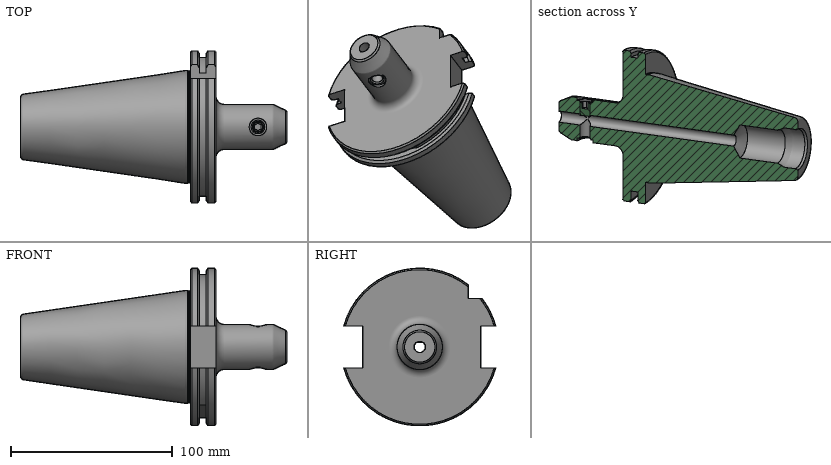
import cadquery as cq
import math


gauge_radius = 69.85 / 2
shank_length = 101.75
taper_slope = 7 / 48
small_end_radius = gauge_radius - shank_length * taper_slope
small_end_fillet = 2.5

collar_end = 1.5
neck_depth = 0.25
neck_side_width = 0.5

flange_start = 3.2
flange_end = 19.1
flange_radius = 97.5 / 2
flange_chamfer = 1.0
groove_center = 10.9
groove_width = 4.2
groove_floor_radius = 44.8
groove_chamfer_width = 1.1
groove_chamfer_depth = 1.6

slot_width = 25.7
slot_floor_plus_y = 37.7
slot_floor_minus_y = 35.3
notch_corner = 30.0

flat_distance = 40.75
flat_angle = 12.0

nose_end = 63.0
nose_radius = 14.0
nose_fillet = 5.0
nose_cone_start = 54.4
nose_tip_radius = 10.4
nose_cone_blend = 1.5
nose_tip_chamfer = 1.0

bore_mouth_radius = 13.2
bore_mouth_depth = 1.5
pilot_radius = 12.5
pilot_depth = 9.0
lead_in_radius = 12.3
lead_in_start = 10.0
lead_in_end = 14.0
thread_bore_radius = 10.5
thread_bore_depth = 40.0
through_radius = 3.4
drill_point_angle = 118

screw_x = 45.0
screw_radius = 3.4
screw_tip_z = 2.65
screw_top_z = 11.5
screw_chamfer = 0.5
socket_across_flats = 4.0
socket_depth = 4.0
counterbore_radius = 5.4
counterbore_floor_z = 12.3
screw_hole_mouth_radius = 4.2


def holder_blank():
    """Outer profile revolved about X."""
    groove_left = groove_center - groove_width / 2
    groove_right = groove_center + groove_width / 2
    groove_chamfer_radius = flange_radius - groove_chamfer_depth
    neck_radius = gauge_radius - neck_depth
    rim_radius = flange_radius - flange_chamfer
    profile = (
        cq.Workplane("XZ")
        .moveTo(-shank_length, 0)
        .lineTo(-shank_length, small_end_radius)
        .lineTo(0, gauge_radius)
        .lineTo(collar_end, gauge_radius)
        .lineTo(collar_end + neck_side_width, neck_radius)
        .lineTo(flange_start - neck_side_width, neck_radius)
        .lineTo(flange_start, gauge_radius)
        .lineTo(flange_start, rim_radius)
        .lineTo(flange_start + flange_chamfer, flange_radius)
        .lineTo(groove_left - groove_chamfer_width, flange_radius)
        .lineTo(groove_left, groove_chamfer_radius)
        .lineTo(groove_left, groove_floor_radius)
        .lineTo(groove_right, groove_floor_radius)
        .lineTo(groove_right, groove_chamfer_radius)
        .lineTo(groove_right + groove_chamfer_width, flange_radius)
        .lineTo(flange_end - flange_chamfer, flange_radius)
        .lineTo(flange_end, rim_radius)
        .lineTo(flange_end, nose_radius + nose_fillet)
        .radiusArc((flange_end + nose_fillet, nose_radius), -nose_fillet)
        .lineTo(nose_cone_start, nose_radius)
        .lineTo(nose_end - nose_tip_chamfer, nose_tip_radius)
        .lineTo(nose_end, nose_tip_radius - nose_tip_chamfer)
        .lineTo(nose_end, 0)
        .close()
    )
    blank = profile.revolve(360, (0, 0, 0), (1, 0, 0))
    blank = blank.faces("<X").edges().fillet(small_end_fillet)
    cone_edge = cq.NearestToPointSelector((nose_cone_start, 0, 0))
    return blank.edges(cone_edge).fillet(nose_cone_blend)


def axial_bore():
    """Stepped bore along X, from the small end through the nose."""
    drill_point_length = (thread_bore_radius - through_radius) / math.tan(math.radians(drill_point_angle / 2))
    thread_bore_end = thread_bore_depth - shank_length
    profile = (
        cq.Workplane("XY")
        .moveTo(-shank_length, 0)
        .lineTo(-shank_length, bore_mouth_radius)
        .lineTo(bore_mouth_depth - shank_length, pilot_radius)
        .lineTo(pilot_depth - shank_length, pilot_radius)
        .lineTo(lead_in_start - shank_length, lead_in_radius)
        .lineTo(lead_in_end - shank_length, thread_bore_radius)
        .lineTo(thread_bore_end, thread_bore_radius)
        .lineTo(thread_bore_end + drill_point_length, through_radius)
        .lineTo(nose_end, through_radius)
        .lineTo(nose_end, 0)
        .close()
    )
    return profile.revolve(360, (0, 0, 0), (1, 0, 0))


def flange_cutter(y_min, y_max, z_min, z_max):
    """Block as long as the flange, for cutting its rim."""
    return (
        cq.Workplane("XY")
        .box(flange_end - flange_start, y_max - y_min, z_max - z_min, centered=False)
        .translate((flange_start, y_min, z_min))
    )


def groove_flat_cutter():
    """Block as wide as the groove floor, leaving a flat near the bottom of the groove."""
    block = (
        cq.Workplane("XY")
        .box(groove_width, 2 * flange_radius, flange_radius, centered=(True, True, False))
        .translate((groove_center, 0, -flat_distance - flange_radius))
    )
    return block.rotate((0, 0, 0), (1, 0, 0), -flat_angle)


def screw_hole():
    """Cutter for a countersunk and counterbored hole, from the axis up to the nose surface."""
    mouth_depth = screw_hole_mouth_radius - screw_radius
    profile = (
        cq.Workplane("XZ")
        .lineTo(screw_radius, 0)
        .lineTo(screw_radius, counterbore_floor_z - mouth_depth)
        .lineTo(screw_hole_mouth_radius, counterbore_floor_z)
        .lineTo(counterbore_radius, counterbore_floor_z)
        .lineTo(counterbore_radius, nose_radius)
        .lineTo(0, nose_radius)
        .close()
    )
    return profile.revolve(360, (0, 0, 0), (0, 1, 0)).translate((screw_x, 0, 0))


def make_holder():
    """One-piece holder, with the screw hole repeated on the opposite side of the nose."""
    half_slot = slot_width / 2
    hole = screw_hole()
    return (
        holder_blank()
        .cut(axial_bore())
        .cut(flange_cutter(slot_floor_plus_y, flange_radius, -half_slot, half_slot))
        .cut(flange_cutter(-flange_radius, -slot_floor_minus_y, -half_slot, half_slot))
        .cut(flange_cutter(notch_corner, flange_radius, notch_corner, flange_radius))
        .cut(groove_flat_cutter())
        .cut(hole)
        .cut(hole.mirror("XY"))
    )


def make_screw():
    """Socket set screw pointing down toward the axis."""
    blank = (
        cq.Workplane("XY", origin=(screw_x, 0, screw_tip_z))
        .circle(screw_radius)
        .extrude(screw_top_z - screw_tip_z)
        .faces(">Z")
        .chamfer(screw_chamfer)
    )
    socket_across_corners = socket_across_flats / math.cos(math.pi / 6)
    socket = (
        cq.Workplane("XY", origin=(screw_x, 0, screw_top_z - socket_depth))
        .transformed(rotate=(0, 0, 90))
        .polygon(6, socket_across_corners)
        .extrude(socket_depth)
    )
    return blank.cut(socket)


holder = make_holder()
screw = make_screw()

result = cq.Compound.makeCompound([holder.val(), screw.val()])